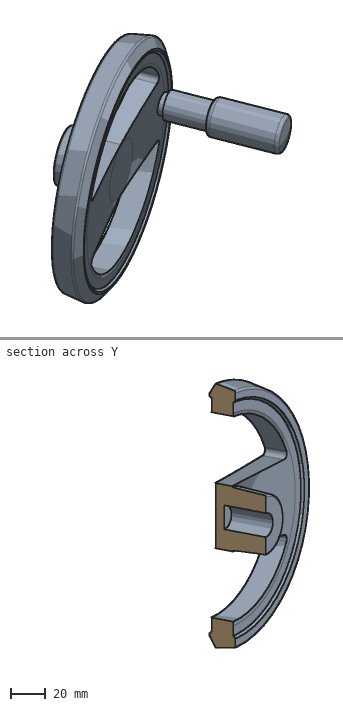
import cadquery as cq
import math


outer_radius = 80.0
rim_back_x = 21.1
rim_front_x = 39.5
rim_peak_x = 35.0
back_taper = 9.4
front_taper = 56.6
edge_radius = 1.5

recess_depth = 1.5
recess_mouth_radius = 72.0
recess_floor_radius = 70.5

web_outer_radius = 64.3
web_inner_radius = 19.2
web_back_slope = 0.8
web_front_slope = 2.9

window_radius = 62.0
spoke_half_width = 19.8
spoke_flare = 3.2
window_corner_radius = 3.0

hub_end_radius = 18.0
hub_taper = 3.0
hub_edge_radius = 1.0
bore_diameter = 14.2
bore_depth = 28.8
key_width = 5.5
key_reach = 9.5

handle_y = 61.3
pin_diameter = 14.0
stem_diameter = 18.5
grip_diameter = 24.0
stem_start_x = 41.5
grip_start_x = 68.3
handle_end_x = 115.5
grip_start_round = 2.9
grip_end_round = 2.5
dome_radius = 32.0

recess_back_x = rim_back_x + recess_depth
recess_front_x = rim_front_x - recess_depth
web_back_x = recess_back_x + web_back_slope
web_front_x = recess_front_x - web_front_slope


def rise(length, degrees):
    """Sideways distance gained by a line over a length at an angle."""
    return length * math.tan(math.radians(degrees))


def disc(radius, start_x, end_x):
    """Cylinder about the X axis."""
    return cq.Workplane("YZ", origin=(start_x, 0, 0)).circle(radius).extrude(end_x - start_x)


def wheel_body():
    lean = math.radians((front_taper - back_taper) / 2)
    half_turn = math.radians((front_taper + back_taper) / 2)
    peak_radius = outer_radius + edge_radius * (math.cos(lean) / math.cos(half_turn) - 1)
    back_radius = peak_radius - rise(rim_peak_x - rim_back_x, back_taper)
    front_radius = peak_radius - rise(rim_front_x - rim_peak_x, front_taper)
    profile = [
        (web_back_x, 0),
        (web_back_x, web_inner_radius),
        (recess_back_x, web_outer_radius),
        (recess_back_x, recess_floor_radius),
        (rim_back_x, recess_mouth_radius),
        (rim_back_x, back_radius),
        (rim_peak_x, peak_radius),
        (rim_front_x, front_radius),
        (rim_front_x, recess_mouth_radius),
        (recess_front_x, recess_floor_radius),
        (recess_front_x, web_outer_radius),
        (web_front_x, web_inner_radius),
        (web_front_x, 0),
    ]
    body = cq.Workplane("XY").polyline(profile).close().revolve(360, (0, 0, 0), (1, 0, 0))
    for edge_rank in (-2, -1):
        body = body.edges(cq.selectors.RadiusNthSelector(edge_rank)).fillet(edge_radius)
    return body


def window():
    """Cutter for the window above the spokes."""
    spoke_edge = spoke_half_width + rise(outer_radius, spoke_flare)
    above_spokes = (
        cq.Workplane("YZ")
        .moveTo(0, spoke_half_width)
        .lineTo(outer_radius, spoke_edge)
        .lineTo(outer_radius, outer_radius)
        .lineTo(-outer_radius, outer_radius)
        .lineTo(-outer_radius, spoke_edge)
        .close()
        .extrude(rim_front_x)
    )
    cutter = disc(window_radius, 0, rim_front_x).intersect(above_spokes)
    corners = cutter.edges("|X").edges("<Y or >Y")
    return corners.fillet(window_corner_radius)


def hub():
    base_radius = hub_end_radius + rise(web_back_x, hub_taper)
    cone = (
        cq.Workplane("XY")
        .polyline([(0, 0), (0, hub_end_radius), (web_back_x, base_radius), (web_back_x, 0)])
        .close()
        .revolve(360, (0, 0, 0), (1, 0, 0))
    )
    return cone.faces("<X").edges().fillet(hub_edge_radius)


def keyed_bore():
    keyway = cq.Workplane("XY").box(bore_depth, key_reach, key_width, centered=(False, False, True))
    return disc(bore_diameter / 2, 0, bore_depth).union(keyway)


def grip():
    """Grip about the X axis, with a shallow dome blended into its side."""
    grip_radius = grip_diameter / 2
    dome_center_x = handle_end_x - dome_radius
    round_center_radius = grip_radius - grip_end_round
    round_center_offset = math.sqrt((dome_radius - grip_end_round) ** 2 - round_center_radius**2)
    reach = dome_radius / (dome_radius - grip_end_round)
    dome_edge = (dome_center_x + round_center_offset * reach, round_center_radius * reach)
    body = (
        cq.Workplane("XY")
        .moveTo(grip_start_x, 0)
        .lineTo(grip_start_x, grip_radius)
        .lineTo(dome_center_x + round_center_offset, grip_radius)
        .tangentArcPoint(dome_edge, relative=False)
        .tangentArcPoint((handle_end_x, 0), relative=False)
        .close()
        .revolve(360, (0, 0, 0), (1, 0, 0))
    )
    return body.faces("<X").edges().fillet(grip_start_round)


def handle():
    pin = disc(pin_diameter / 2, web_front_x, stem_start_x)
    stem = disc(stem_diameter / 2, stem_start_x, grip_start_x + grip_start_round)
    return pin.union(stem).union(grip()).translate((0, handle_y, 0))


upper_window = window()
lower_window = upper_window.mirror("XY")

wheel = wheel_body().cut(upper_window).cut(lower_window)
result = wheel.union(hub()).cut(keyed_bore()).union(handle())